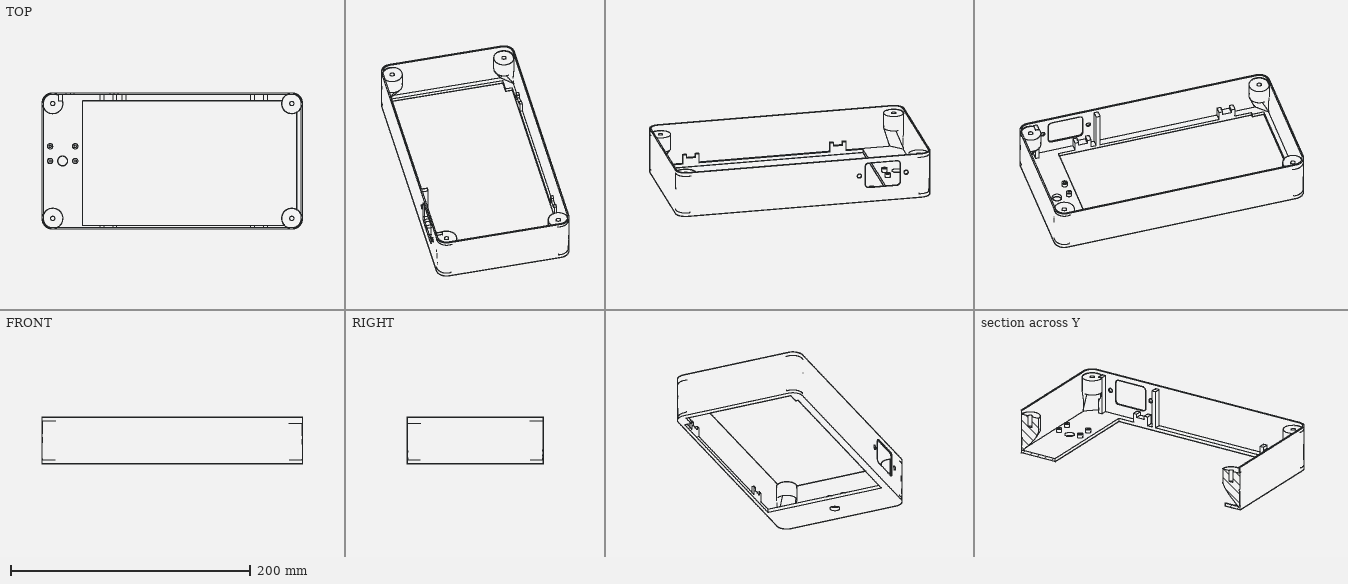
import cadquery as cq
import math

length = 218.0
width = 114.0
height = 39.0
corner_radius = 8.8
wall = 1.2
floor = 3.0

window_left = 34.1
window_right = 213.0
window_front = 3.2
window_back = 107.2

post_inset = 9.0
post_radius = 8.5
post_top = 35.8
post_column_height = 13.0
post_hole_diameter = 3.6
post_hole_depth = 10.0
low_post_drop = 2.0
foot_chord_distance = 4.7
foot_arc_angle = 37.0

pad_length = 15.0
pad_width = post_inset

block_left_edges = (48.5, 174.5)
block_length = 14.0
block_top = 11.0
block_notch_length = 7.5
block_notch_depth = 3.0

socket_x = 42.0
socket_bottom = 12.5
socket_top = 34.5
socket_length = 30.0
socket_corner_radius = 3.0
socket_screw_spacing = 40.0
socket_screw_diameter = 3.6
socket_height = socket_top - socket_bottom
socket_z = (socket_bottom + socket_top) / 2

rib_top = 36.0
left_rib = (14.0, 17.0)
right_rib = (67.0, 70.5)

switch_x = 17.3
switch_y = width / 2
switch_diameter = 8.0
standoff_spacing_x = 21.0
standoff_spacing_y = 12.3
standoff_diameter = 4.5
standoff_height = 3.0
standoff_hole_diameter = 2.0


def box(x_range, y_range, z_range):
    """Box between the given limits along each axis."""
    (x0, x1), (y0, y1), (z0, z1) = x_range, y_range, z_range
    return cq.Workplane("XY").box(x1 - x0, y1 - y0, z1 - z0, centered=False).translate((x0, y0, z0))


def rounded_plate(inset, z_bottom, z_top):
    """Case outline, moved inward by `inset`, as a plate between two heights."""
    plate = box((inset, length - inset), (inset, width - inset), (z_bottom, z_top))
    return plate.edges("|Z").fillet(corner_radius - inset)


def floor_frame():
    """Floor with its window, which leaves a pad under each right-hand post."""
    window = box((window_left, window_right), (window_front, window_back), (0, floor))
    for y_range in ((0, pad_width), (width - pad_width, width)):
        window = window.cut(box((length - pad_length, length), y_range, (0, floor)))
    return rounded_plate(0, 0, floor).cut(window)


def wall_ring():
    """Wall that stands on the rim of the floor."""
    return rounded_plate(0, floor, height).cut(rounded_plate(wall, floor, height))


def latch_block(left, y_range):
    """Block flush with the outside of the wall, notched across the middle of its top inside the wall."""
    front, back = y_range
    block = box((left, left + block_length), y_range, (floor, block_top))
    notch_left = left + (block_length - block_notch_length) / 2
    notch = box(
        (notch_left, notch_left + block_notch_length),
        (max(front, wall), min(back, width - wall)),
        (block_top - block_notch_depth, block_top),
    )
    return block.cut(notch)


def rib(x_range):
    """Upright rib on the inside of the back wall."""
    return box(x_range, (window_back, width - wall), (floor, rib_top))


def standoffs():
    """Four tubes on the floor, one pair level with the switch hole and one pair behind it."""
    centers = [
        (switch_x + side * standoff_spacing_x / 2, switch_y + row * standoff_spacing_y)
        for side in (-1, 1)
        for row in (0, 1)
    ]
    discs = cq.Workplane("XY", origin=(0, 0, floor)).pushPoints(centers)
    tubes = discs.circle(standoff_diameter / 2).circle(standoff_hole_diameter / 2)
    return tubes.extrude(standoff_height)


def socket_cutout():
    """Socket opening with its two screw holes, through the back wall."""
    back_wall = cq.Workplane("XZ", origin=(socket_x, width, socket_z))
    opening = back_wall.rect(socket_length, socket_height).extrude(wall)
    opening = opening.edges("|Y").fillet(socket_corner_radius)
    screw_points = [(side * socket_screw_spacing / 2, 0) for side in (-1, 1)]
    screws = back_wall.pushPoints(screw_points).circle(socket_screw_diameter / 2).extrude(wall)
    return opening.union(screws)


def switch_hole():
    return cq.Workplane("XY", origin=(switch_x, switch_y, 0)).circle(switch_diameter / 2).extrude(floor)


def rim_point(angle):
    """Point of the post's rim at an angle in radians."""
    return (post_radius * math.cos(angle), post_radius * math.sin(angle))


def column_section(z):
    """Full circle of the post as four quarter arcs, starting at its left side."""
    quarter = math.pi / 2
    section = cq.Workplane("XY", origin=(0, 0, z)).moveTo(*rim_point(math.pi))
    for number in range(4):
        start = math.pi - number * quarter
        section = section.threePointArc(rim_point(start - quarter / 2), rim_point(start - quarter))
    return section.close()


def foot_section(plane):
    """Segment of the post circle nearest the case corner, closed by a straight chord."""
    toward_corner = 1.25 * math.pi
    arc_half = math.radians(foot_arc_angle) / 2
    chord_half = math.acos(foot_chord_distance / post_radius)
    between = (arc_half + chord_half) / 2
    return (
        plane.moveTo(*rim_point(toward_corner - arc_half))
        .threePointArc(rim_point(toward_corner - between), rim_point(toward_corner - chord_half))
        .lineTo(*rim_point(toward_corner + chord_half))
        .threePointArc(rim_point(toward_corner + between), rim_point(toward_corner + arc_half))
        .threePointArc(rim_point(toward_corner), rim_point(toward_corner - arc_half))
        .close()
    )


def corner_post(at_right, at_back):
    """Round post that narrows below its shoulder towards the nearest corner of the case."""
    is_low = at_right and not at_back
    top = post_top - low_post_drop if is_low else post_top
    shoulder = top - post_column_height
    column = column_section(shoulder).extrude(post_column_height)
    foot_plane = column_section(shoulder).workplane(offset=floor - shoulder)
    taper = foot_section(foot_plane).loft(ruled=True)
    hole = cq.Workplane("XY", origin=(0, 0, top)).circle(post_hole_diameter / 2).extrude(-post_hole_depth)
    post = column.union(taper).cut(hole)
    if at_right:
        post = post.mirror("YZ")
    if at_back:
        post = post.mirror("XZ")
    x = length - post_inset if at_right else post_inset
    y = width - post_inset if at_back else post_inset
    return post.translate((x, y, 0))


posts = []
for at_right in (False, True):
    for at_back in (False, True):
        posts.append(corner_post(at_right, at_back).cut(rib(left_rib)))

case = floor_frame().union(wall_ring(), clean=False)
for left_edge in block_left_edges:
    for block_depth in ((0, window_front), (window_back, width)):
        case = case.union(latch_block(left_edge, block_depth), clean=False)
for rib_width in (left_rib, right_rib):
    case = case.union(rib(rib_width), clean=False)
case = case.union(standoffs(), clean=False)
case = case.cut(socket_cutout(), clean=False)
case = case.cut(switch_hole(), clean=False)

for post in posts:
    case = case.cut(post, clean=False)

solids = case.solids().vals()
for post in posts:
    solids.extend(post.solids().vals())
result = cq.Compound.makeCompound(solids)